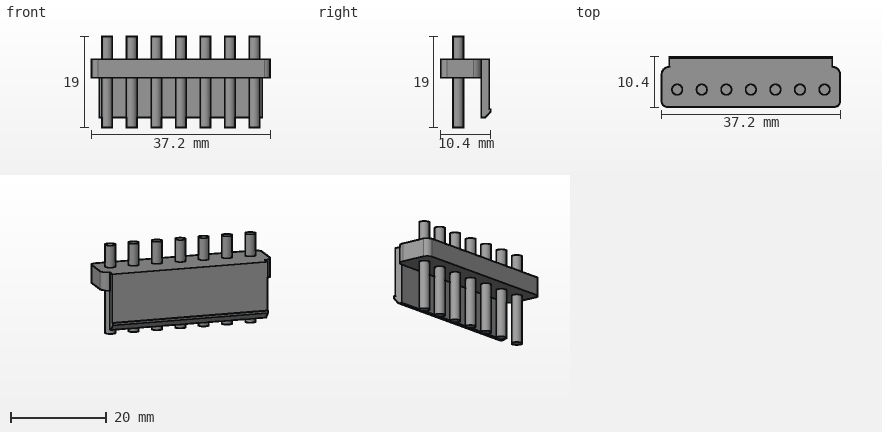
import cadquery as cq

body_length = 37.25
body_depth = 8.4
body_height = 3.9
front_corner_radius = 1.25
rear_corner_radius = 1.68

pin_count = 7
pin_row_span = 30.7
pin_pitch = pin_row_span / (pin_count - 1)
pin_diameter = 2.2
pin_length = 19.0
pin_below_body = 10.35
pin_y = 3.65

latch_length = 34.0
latch_thickness = 1.7
latch_drop = 8.3
hook_height = 1.8
hook_overhang = 0.35
hook_lip_height = 0.5
hook_tip_width = 0.82


def make_body():
    block = cq.Workplane("XY").box(
        body_length, body_depth, body_height, centered=(True, False, False)
    )
    block = block.edges("|Z and <Y").fillet(front_corner_radius)
    return block.edges("|Z and >Y").fillet(rear_corner_radius)


def make_pins():
    first_x = -pin_row_span / 2
    centers = [(first_x + i * pin_pitch, pin_y) for i in range(pin_count)]
    return (
        cq.Workplane("XY")
        .workplane(offset=-pin_below_body)
        .pushPoints(centers)
        .circle(pin_diameter / 2)
        .extrude(pin_length)
    )


def make_latch():
    inner_y = body_depth
    outer_y = inner_y + latch_thickness
    hook_y = outer_y + hook_overhang
    bottom_z = -latch_drop
    hook_top_z = bottom_z + hook_height
    profile = [
        (inner_y, body_height),
        (outer_y, body_height),
        (outer_y, hook_top_z),
        (hook_y, hook_top_z),
        (hook_y, hook_top_z - hook_lip_height),
        (inner_y + hook_tip_width, bottom_z),
        (inner_y, bottom_z),
    ]
    return (
        cq.Workplane("YZ")
        .polyline(profile)
        .close()
        .extrude(latch_length / 2, both=True)
    )


result = make_body().union(make_pins()).union(make_latch())